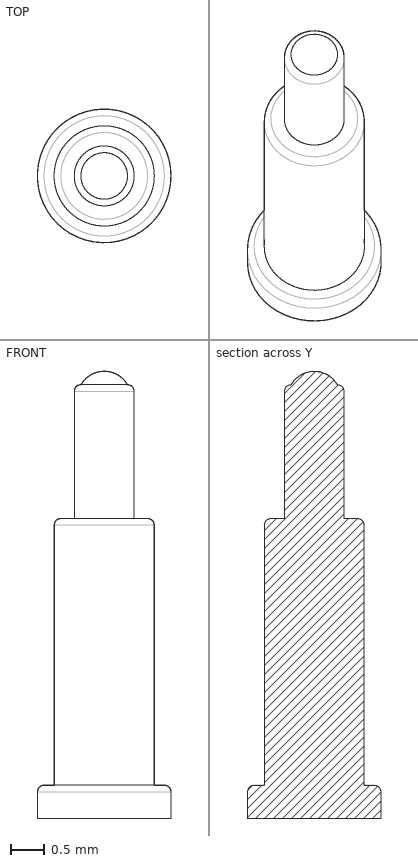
import cadquery as cq

total_height = 6.7
flange_radius = 1.0015
flange_height = 0.5
barrel_radius = 0.75
barrel_top = 4.495
plunger_radius = 0.45
edge_radius = 0.1
dome_height = 0.2
dome_base_radius = plunger_radius - edge_radius

plunger_top = total_height - dome_height
dome_sphere_radius = (dome_base_radius**2 + dome_height**2) / (2 * dome_height)


def rounded_cylinder(radius, bottom, top):
    """Upright cylinder with its top rim rounded."""
    cylinder = cq.Workplane("XY").workplane(offset=bottom).circle(radius).extrude(top - bottom)
    return cylinder.faces(">Z").edges().fillet(edge_radius)


def domed_tip():
    """Spherical cap on the flat end of the plunger."""
    sphere = cq.Workplane("XY").sphere(dome_sphere_radius)
    sphere = sphere.translate((0, 0, total_height - dome_sphere_radius))
    cap_zone = cq.Workplane("XY").workplane(offset=plunger_top).circle(dome_base_radius).extrude(dome_height)
    return sphere.intersect(cap_zone)


flange = rounded_cylinder(flange_radius, 0, flange_height)
barrel = rounded_cylinder(barrel_radius, 0, barrel_top)
plunger = rounded_cylinder(plunger_radius, 0, plunger_top)

result = flange.union(barrel).union(plunger).union(domed_tip())